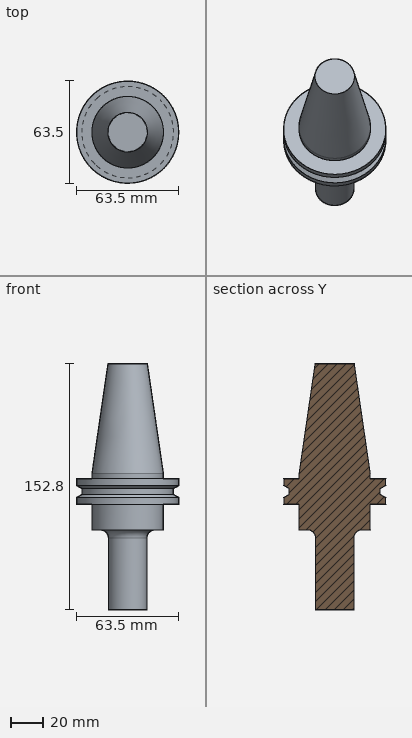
import cadquery as cq
import math

taper_length = 68.25
gauge_diameter = 44.45
taper_ratio = 7 / 24
collar_height = 3.175
body_end_distance = 35.0
overall_length = 152.75

flange_diameter = 63.5
flange_thickness = 15.875
groove_floor_diameter = 56.8
groove_floor_width = 3.5
groove_flank_angle = 60.0

body_diameter = 44.45
shank_diameter = 24.0
shank_fillet = 5.0

taper_tip_radius = (gauge_diameter - taper_ratio * taper_length) / 2
gauge_radius = gauge_diameter / 2
flange_radius = flange_diameter / 2
groove_floor_radius = groove_floor_diameter / 2
body_radius = body_diameter / 2
shank_radius = shank_diameter / 2

flange_top = -collar_height
flange_bottom = flange_top - flange_thickness
body_bottom = -body_end_distance
shank_bottom = taper_length - overall_length


def make_taper():
    """Solid taper with the straight collar that joins it to the flange."""
    profile = (
        cq.Workplane("XZ")
        .moveTo(0, taper_length)
        .lineTo(taper_tip_radius, taper_length)
        .lineTo(gauge_radius, 0)
        .lineTo(gauge_radius, flange_top)
        .lineTo(0, flange_top)
        .close()
    )
    return profile.revolve(360, (0, 0, 0), (0, 1, 0))


def make_flange():
    """Flange disc with a flat-bottomed V-groove centred on its rim."""
    flank_rise = (flange_radius - groove_floor_radius) / math.tan(math.radians(groove_flank_angle))
    floor_half = groove_floor_width / 2
    mouth_half = floor_half + flank_rise
    groove_centre = (flange_top + flange_bottom) / 2
    profile = (
        cq.Workplane("XZ")
        .moveTo(0, flange_top)
        .lineTo(flange_radius, flange_top)
        .lineTo(flange_radius, groove_centre + mouth_half)
        .lineTo(groove_floor_radius, groove_centre + floor_half)
        .lineTo(groove_floor_radius, groove_centre - floor_half)
        .lineTo(flange_radius, groove_centre - mouth_half)
        .lineTo(flange_radius, flange_bottom)
        .lineTo(0, flange_bottom)
        .close()
    )
    return profile.revolve(360, (0, 0, 0), (0, 1, 0))


def make_nose():
    """Cylindrical body and slimmer shank, blended by a concave fillet."""
    fillet_centre_radius = shank_radius + shank_fillet
    fillet_centre_z = body_bottom - shank_fillet
    diagonal = shank_fillet * math.sqrt(0.5)
    profile = (
        cq.Workplane("XZ")
        .moveTo(0, flange_bottom)
        .lineTo(body_radius, flange_bottom)
        .lineTo(body_radius, body_bottom)
        .lineTo(fillet_centre_radius, body_bottom)
        .threePointArc(
            (fillet_centre_radius - diagonal, fillet_centre_z + diagonal),
            (shank_radius, fillet_centre_z),
        )
        .lineTo(shank_radius, shank_bottom)
        .lineTo(0, shank_bottom)
        .close()
    )
    return profile.revolve(360, (0, 0, 0), (0, 1, 0))


result = make_taper().union(make_flange()).union(make_nose())